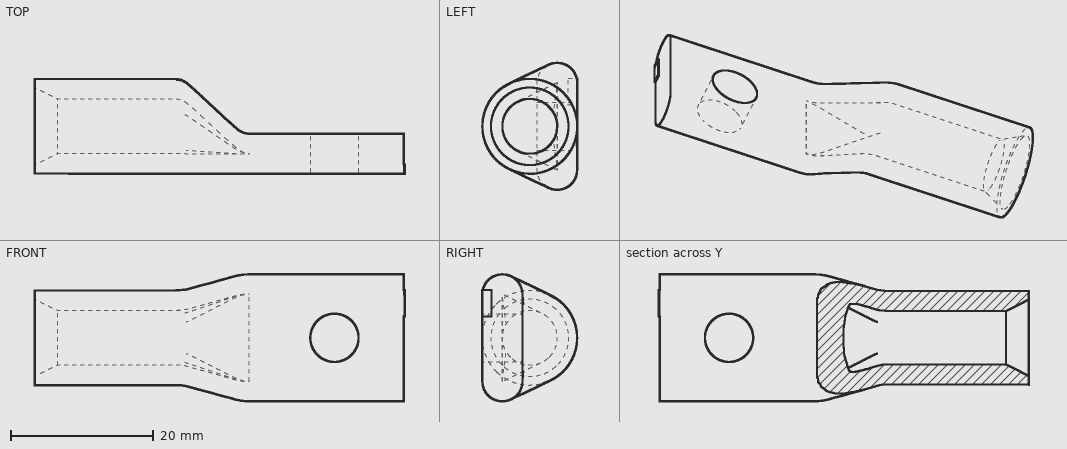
import cadquery as cq
import math

barrel_diameter = 13.34
bore_diameter = 7.7
mouth_diameter = 10.9
barrel_length = 19.8
countersink_depth = 3.2

palm_height = 17.86
palm_start = 30.1
palm_end = 51.85
bolt_hole_diameter = 6.75
bolt_hole_x = 42.1

overall_length = 51.99
pad_thickness = 1.3
pad_bottom = 3.0
pad_top = 6.7

ramp_share = 0.2
neck_steps = 10
front_seam_angle = math.radians(30)
outer_back_seam_angle = math.radians(12)
cavity_back_seam_angle = math.radians(60)
slit_gap = 0.1

barrel_radius = barrel_diameter / 2
bore_radius = bore_diameter / 2
wall = barrel_radius - bore_radius
palm_thickness = 2 * wall
palm_center_y = -barrel_radius + wall
palm_straight = palm_height - palm_thickness
neck_length = palm_start - barrel_length


def ease(t):
    """Go from 0 to 1: curve in, run straight, curve out."""
    slope = 1 / (1 - ramp_share)
    if t < ramp_share:
        return slope * t ** 2 / (2 * ramp_share)
    if t > 1 - ramp_share:
        return 1 - ease(1 - t)
    return slope * (t - ramp_share / 2)


def neck_section(x, share, round_radius, flat_radius, back_seam_angle):
    """Closed wire at x, between a circle (share 0) and a slot centred in the palm (share 1)."""
    half_straight = palm_straight / 2

    def point(angle, slot_y, slot_z):
        y = (1 - share) * round_radius * math.cos(angle) + share * (palm_center_y + slot_y)
        z = (1 - share) * round_radius * math.sin(angle) + share * slot_z
        return cq.Vector(x, y, z)

    back_top = point(back_seam_angle, flat_radius, half_straight)
    top = point(math.pi / 2, 0, half_straight + flat_radius)
    front_top = point(math.pi - front_seam_angle, -flat_radius, half_straight)
    front = point(math.pi, -flat_radius, 0)
    front_bottom = point(math.pi + front_seam_angle, -flat_radius, -half_straight)
    bottom = point(-math.pi / 2, 0, -half_straight - flat_radius)
    back_bottom = point(-back_seam_angle, flat_radius, -half_straight)
    back = point(0, flat_radius, 0)

    def face_edge(start, middle, end):
        if share == 1:
            return cq.Edge.makeLine(start, end)
        return cq.Edge.makeThreePointArc(start, middle, end)

    return cq.Wire.assembleEdges([
        cq.Edge.makeThreePointArc(back_top, top, front_top),
        face_edge(front_top, front, front_bottom),
        cq.Edge.makeThreePointArc(front_bottom, bottom, back_bottom),
        face_edge(back_bottom, back, back_top),
    ])


def neck_body(round_radius, flat_radius, back_seam_angle):
    """Solid lofted from a circle at the barrel to a slot of half-thickness flat_radius."""
    sections = []
    for step in range(neck_steps + 1):
        t = step / neck_steps
        x = barrel_length + t * neck_length
        sections.append(neck_section(x, ease(t), round_radius, flat_radius, back_seam_angle))
    return cq.Workplane(obj=cq.Solid.makeLoft(sections))


def make_barrel():
    return cq.Workplane("YZ").circle(barrel_radius).extrude(barrel_length)


def make_bore():
    half_profile = [
        (0, 0),
        (0, mouth_diameter / 2),
        (countersink_depth, bore_radius),
        (barrel_length, bore_radius),
        (barrel_length, 0),
    ]
    return cq.Workplane("XY").polyline(half_profile).close().revolve(360, (0, 0), (1, 0))


def make_palm():
    return (
        cq.Workplane("YZ", origin=(palm_start, palm_center_y, 0))
        .slot2D(palm_height, palm_thickness, 90)
        .extrude(palm_end - palm_start)
    )


def make_bolt_hole():
    return (
        cq.Workplane("XZ", origin=(bolt_hole_x, 0, 0))
        .circle(bolt_hole_diameter / 2)
        .extrude(barrel_diameter, both=True)
    )


def make_end_pad():
    return (
        cq.Workplane("XY", origin=(palm_end, -barrel_radius, pad_bottom))
        .box(overall_length - palm_end, pad_thickness, pad_top - pad_bottom, centered=False)
    )


outer_neck = neck_body(barrel_radius, wall, outer_back_seam_angle)
body = make_barrel().union(outer_neck).union(make_palm()).union(make_end_pad())
neck_cavity = neck_body(bore_radius, slit_gap / 2, cavity_back_seam_angle)
cavity = make_bore().union(neck_cavity)
result = body.cut(cavity).cut(make_bolt_hole())